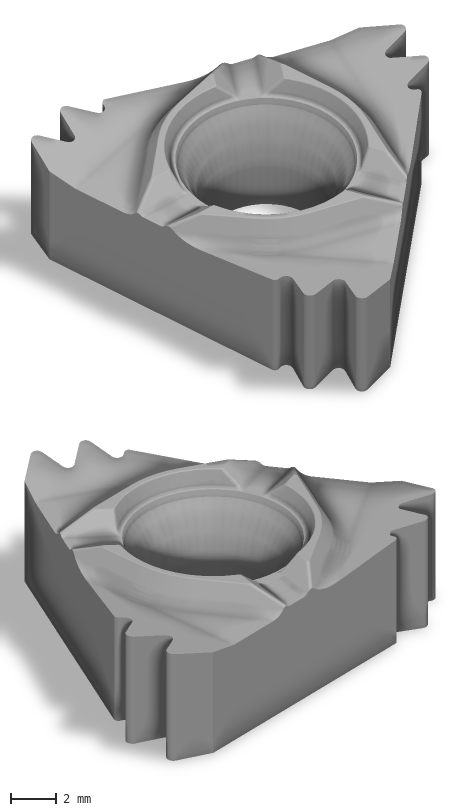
import cadquery as cq
import math


CORNER_TURNS = (0, 120, 240)

OVERALL_LENGTH = 18.29
INRADIUS = 6.35
SIDE_NORMAL = 60
TOTAL_HEIGHT = 6.05
FLOOR_HEIGHT = 4.97

BLANK_HALF = 18.29

PITCH = 2.3
FLANK_SLOPE = math.tan(math.radians(27.5))
THREAD_RADIUS = 0.31
TOOTH_1_X = -5.25
TOOTH_2_RISE = 0.11
LAST_VALLEY_RISE = 0.07
SHOULDER_RADIUS = 0.22

RAKE_START = 5.85
RAKE_ANGLE = 10.6
RAKE_BLEND = 0.11

BOSS_RADIUS = 4.81
BOSS_ARC_START = 90
BOSS_SPAN = 30
BOSS_DRAFT = 35.0
BOSS_FOOT_RADIUS = 0.73
BOSS_RIM_RADIUS = 0.07

SLOT_DIRECTION = 45
SLOT_OFFSET = 0.1
SLOT_FLOOR = 5.27
SLOT_HALF_FLOOR = 0.55
SLOT_HALF_TOP = 1.52
SLOT_FILLET = 0.27
SLOT_EDGE_RADIUS = 0.16

HOLE_DIAMETER = 5.7
SEAT_TOP = 4.97
SEAT_TOP_RADIUS = 3.91
SEAT_ARC_RADIUS = 3.99
SHELF_INNER_RADIUS = 4.02
RECESS_TOP_RADIUS = 4.52
RECESS_FLOOR_RADIUS = 4.2
RECESS_FILLET = 0.2
RECESS_EDGE_RADIUS = 0.16


def turned(point, degrees):
    """Return a plan point turned about the hole axis."""
    angle = math.radians(degrees)
    x, y = point
    return (x * math.cos(angle) - y * math.sin(angle), x * math.sin(angle) + y * math.cos(angle))


def polar(radius, degrees):
    return turned((radius, 0), degrees)


def rounded_outline(corners, plane="XY"):
    """Close a wire through (point, radius) corners, rounding those with a radius."""
    stations = []
    for i, (corner, radius) in enumerate(corners):
        here = cq.Vector(*corner)
        back = (cq.Vector(*corners[i - 1][0]) - here).normalized()
        ahead = (cq.Vector(*corners[(i + 1) % len(corners)][0]) - here).normalized()
        half_angle = back.getAngle(ahead) / 2
        reach = radius / math.tan(half_angle)
        middle = (back + ahead).normalized() * (radius / math.sin(half_angle) - radius)
        stations.append((radius, here + back * reach, here + middle, here + ahead * reach))
    outline = cq.Workplane(plane).moveTo(*stations[-1][3].toTuple()[:2])
    for radius, start, middle, end in stations:
        outline = outline.lineTo(start.x, start.y)
        if radius:
            outline = outline.threePointArc((middle.x, middle.y), (end.x, end.y))
    return outline.close()


def tooth_1_tip():
    """Tip height of tooth 1 that gives the overall length.

    The length along Y runs from the tip of tooth 2 on the +Y corner down to the rounded
    tip of tooth 1 on the corner turned by 120 degrees.
    """
    turn = math.radians(CORNER_TURNS[1])
    fixed = TOOTH_2_RISE - TOOTH_1_X * math.sin(turn) + THREAD_RADIUS * (1 + math.cos(turn))
    return (OVERALL_LENGTH - fixed) / (1 - math.cos(turn))


def tooth_corners():
    """Sharp profile points of one set of teeth, from the shoulder to the -X side."""
    tip_height = tooth_1_tip()
    tip_gap = THREAD_RADIUS / math.sin(math.atan(FLANK_SLOPE)) - THREAD_RADIUS
    x1, y1 = TOOTH_1_X, tip_height + tip_gap
    x2, y2 = x1 + PITCH, y1 + TOOTH_2_RISE
    valley_drop = (PITCH / FLANK_SLOPE - TOOTH_2_RISE) / 2
    valley = (x1 + valley_drop * FLANK_SLOPE, y1 - valley_drop)
    last_y = valley[1] + LAST_VALLEY_RISE
    last_x = x2 + (y2 - last_y) * FLANK_SLOPE
    side_x, side_y = polar(1, SIDE_NORMAL)
    rise = (INRADIUS - side_x * last_x - side_y * last_y) / (side_x * FLANK_SLOPE + side_y)
    shoulder = (last_x + rise * FLANK_SLOPE, last_y + rise)
    flank_end = (-INRADIUS, y1 - (x1 + INRADIUS) / FLANK_SLOPE)
    return [
        (shoulder, SHOULDER_RADIUS),
        ((last_x, last_y), THREAD_RADIUS),
        ((x2, y2), THREAD_RADIUS),
        (valley, THREAD_RADIUS),
        ((x1, y1), THREAD_RADIUS),
        (flank_end, 0),
    ]


def plate_prism():
    corners = [(turned(p, turn), r) for turn in CORNER_TURNS for p, r in tooth_corners()]
    return rounded_outline(corners).extrude(TOTAL_HEIGHT)


def boss():
    """Drafted boss: arcs around the hole joined by tangent lines that meet over the slots."""
    base_radius = BOSS_RADIUS + TOTAL_HEIGHT * math.tan(math.radians(BOSS_DRAFT))
    half_gap = (360 / len(CORNER_TURNS) - BOSS_SPAN) / 2
    meeting_radius = base_radius / math.cos(math.radians(half_gap))
    outline = cq.Workplane("XY").moveTo(*polar(meeting_radius, BOSS_ARC_START - half_gap))
    for turn in CORNER_TURNS:
        start = BOSS_ARC_START + turn
        end = start + BOSS_SPAN
        outline = outline.lineTo(*polar(base_radius, start))
        outline = outline.threePointArc(polar(base_radius, (start + end) / 2), polar(base_radius, end))
        if turn != CORNER_TURNS[-1]:
            outline = outline.lineTo(*polar(meeting_radius, end + half_gap))
    return outline.close().extrude(TOTAL_HEIGHT, taper=BOSS_DRAFT)


def floor_with_boss(slab):
    """Join the boss to a floor slab and blend the inner corner around its foot."""
    joined = slab.union(boss())
    floor_face = next(face for face in joined.faces().vals() if face.innerWires())
    foot = floor_face.innerWires()[0]
    return joined.newObject(foot.Edges()).fillet(BOSS_FOOT_RADIUS)


def level_slab():
    return cq.Workplane("XY").rect(2 * BLANK_HALF, 2 * BLANK_HALF).extrude(FLOOR_HEIGHT)


def rake_slab():
    """Slab whose top slopes up along +Y, crossing the floor height at the rake start."""
    slope = math.tan(math.radians(RAKE_ANGLE))
    front = FLOOR_HEIGHT + (-BLANK_HALF - RAKE_START) * slope
    back = FLOOR_HEIGHT + (BLANK_HALF - RAKE_START) * slope
    side = [(-BLANK_HALF, 0), (BLANK_HALF, 0), (BLANK_HALF, back), (-BLANK_HALF, front)]
    return cq.Workplane("YZ").polyline(side).close().extrude(BLANK_HALF, both=True)


def rake_blend():
    """Narrow facet that softens the break between the floor and the rake face."""
    reach = RAKE_BLEND / 2
    end_height = FLOOR_HEIGHT + reach * math.tan(math.radians(RAKE_ANGLE))
    section = [
        (RAKE_START - reach, FLOOR_HEIGHT),
        (RAKE_START + reach, end_height),
        (RAKE_START + reach, FLOOR_HEIGHT - RAKE_BLEND),
        (RAKE_START - reach, FLOOR_HEIGHT - RAKE_BLEND),
    ]
    return cq.Workplane("YZ").polyline(section).close().extrude(INRADIUS, both=True)


def slot_cutter():
    """Slot along +X with sloping walls and filleted floor corners."""
    wall_run = SLOT_HALF_TOP - SLOT_HALF_FLOOR
    depth = TOTAL_HEIGHT - SLOT_FLOOR
    low, high = SLOT_HALF_FLOOR, SLOT_HALF_TOP + wall_run
    top = TOTAL_HEIGHT + depth
    section = [
        ((SLOT_OFFSET - low, SLOT_FLOOR), SLOT_FILLET),
        ((SLOT_OFFSET + low, SLOT_FLOOR), SLOT_FILLET),
        ((SLOT_OFFSET + high, top), 0),
        ((SLOT_OFFSET - high, top), 0),
    ]
    return rounded_outline(section, "YZ").extrude(2 * INRADIUS)


def slot_edges(body, along_at):
    """Edges that the slot walls make with a surface the slots run through.

    along_at gives how far along the slot axis that surface is met, for a distance
    across the axis and a depth below the boss top.
    """
    depth = (TOTAL_HEIGHT - SLOT_FLOOR) / 3
    half_width = SLOT_HALF_TOP - (SLOT_HALF_TOP - SLOT_HALF_FLOOR) / 3
    edges = []
    for turn in CORNER_TURNS:
        for side in (-1, 1):
            across = SLOT_OFFSET + side * half_width
            x, y = turned((along_at(across, depth), across), SLOT_DIRECTION + turn)
            nearest = cq.selectors.NearestToPointSelector((x, y, TOTAL_HEIGHT - depth))
            edges.append(body.edges(nearest).val())
    return edges


def along_to_boss_wall(across, depth):
    wall_distance = BOSS_RADIUS + depth * math.tan(math.radians(BOSS_DRAFT))
    wall_angle = math.radians(BOSS_ARC_START - SLOT_DIRECTION)
    return (wall_distance - abs(across) * math.sin(wall_angle)) / math.cos(wall_angle)


def along_to_recess(across, depth):
    taper = (RECESS_TOP_RADIUS - RECESS_FLOOR_RADIUS) / (TOTAL_HEIGHT - SLOT_FLOOR)
    return math.sqrt((RECESS_TOP_RADIUS - depth * taper) ** 2 - across**2)


def boss_rim_edges(body):
    """Edges of the boss top, along its outer walls and the slot walls, but not the recess."""
    inner_limit = (BOSS_RADIUS + RECESS_TOP_RADIUS) / 2
    rim = []
    for edge in body.faces(">Z").edges().vals():
        middle = edge.positionAt(0.5)
        if math.hypot(middle.x, middle.y) > inner_limit:
            rim.append(edge)
    return rim


def seat_cutter():
    """Recess in the boss top, then a curved seat running into the straight hole."""
    hole_radius = HOLE_DIAMETER / 2
    run = SEAT_TOP_RADIUS - hole_radius
    seat_depth = math.sqrt(SEAT_ARC_RADIUS**2 - (SEAT_ARC_RADIUS - run) ** 2)
    hole_top = SEAT_TOP - seat_depth
    half_turn = math.asin(seat_depth / SEAT_ARC_RADIUS) / 2
    middle = (
        hole_radius + SEAT_ARC_RADIUS * (1 - math.cos(half_turn)),
        hole_top + SEAT_ARC_RADIUS * math.sin(half_turn),
    )
    lower = (
        cq.Workplane("XZ")
        .lineTo(hole_radius, 0)
        .lineTo(hole_radius, hole_top)
        .threePointArc(middle, (SEAT_TOP_RADIUS, SEAT_TOP))
        .lineTo(SHELF_INNER_RADIUS, SLOT_FLOOR)
        .lineTo(0, SLOT_FLOOR)
        .close()
        .revolve(360, (0, 0), (0, 1))
    )
    recess_section = [
        ((0, SLOT_FLOOR), 0),
        ((RECESS_FLOOR_RADIUS, SLOT_FLOOR), RECESS_FILLET),
        ((RECESS_TOP_RADIUS, TOTAL_HEIGHT), 0),
        ((0, TOTAL_HEIGHT), 0),
    ]
    recess = rounded_outline(recess_section, "XZ").revolve(360, (0, 0), (0, 1))
    return lower.union(recess)


def turned_about_hole(body, degrees):
    return body.rotate((0, 0, 0), (0, 0, 1), degrees)


raked = floor_with_boss(rake_slab()).union(rake_blend())
blank = floor_with_boss(level_slab())
for turn in CORNER_TURNS:
    blank = blank.union(turned_about_hole(raked, turn))
for turn in CORNER_TURNS:
    blank = blank.cut(turned_about_hole(slot_cutter(), SLOT_DIRECTION + turn))

insert = blank.intersect(plate_prism()).cut(seat_cutter())
insert = insert.newObject(slot_edges(insert, along_to_boss_wall)).fillet(SLOT_EDGE_RADIUS)
insert = insert.newObject(slot_edges(insert, along_to_recess)).fillet(RECESS_EDGE_RADIUS)
result = insert.newObject(boss_rim_edges(insert)).fillet(BOSS_RIM_RADIUS)